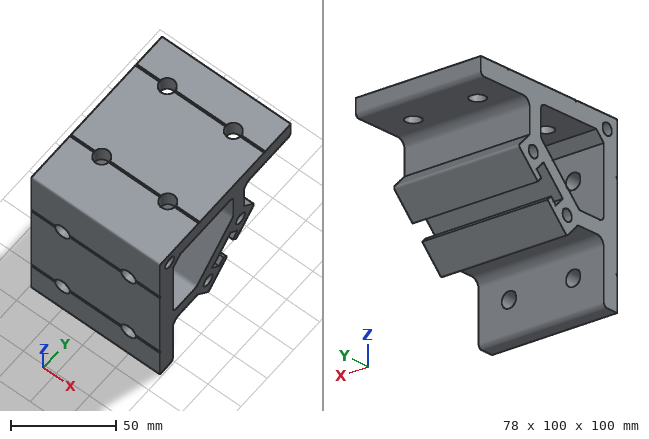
import cadquery as cq
import math

width = 78.0
leg = 100.0
thickness = 10.0
outer_corner_radius = 1.0
leg_tip_radius = 2.5

web_inner = 56.0
web_outer = 64.2
web_root_radius = 5.0
core_chamfer = 5.5
core_radius = 3.0

block_inner = 59.3
block_outer = 77.4
block_width = 50.0
block_corner_radius = 1.5

slot_floor = 66.5
slot_lip = 73.7
slot_width = 20.0
slot_opening = 10.0

bore_diameter = 6.8
corner_bore_offset = 7.5
block_bore_distance = 69.6
block_bore_spacing = 35.0

mount_diameter = 9.0
mount_spacing = 40.0
row_offsets = (30.0, 80.0)
groove_width = 1.0
groove_depth = groove_width / 2


def from_corner(y, depth):
    """Profile point at y behind the front face and depth below the top face."""
    return (y, leg - depth)


def on_bisector(distance, side):
    """Profile point given along the corner bisector and sideways from it."""
    return from_corner((distance + side) / math.sqrt(2), (distance - side) / math.sqrt(2))


def extrude_profile(points):
    """Closed YZ outline extruded over the full width."""
    return cq.Workplane("YZ").polyline(points).close().extrude(width)


def round_edges(body, points, radius):
    """Fillet the full-width edges that pass through the given profile points."""
    for y, z in points:
        edge = cq.selectors.NearestToPointSelector((width / 2, y, z))
        body = body.edges("|X").edges(edge).fillet(radius)
    return body


def make_outline():
    """Solid L with the diagonal block bridging its two webs."""
    half_width = block_width / 2
    neck = web_outer - half_width * math.sqrt(2)
    corner = from_corner(0, 0)
    tips = [from_corner(leg, thickness), from_corner(thickness, leg)]
    roots = [from_corner(web_outer, thickness), from_corner(thickness, web_outer)]
    block_corners = [on_bisector(block_outer, half_width), on_bisector(block_outer, -half_width)]
    body = extrude_profile([
        corner,
        from_corner(leg, 0),
        tips[0],
        roots[0],
        from_corner(web_outer, neck),
        block_corners[0],
        block_corners[1],
        from_corner(neck, web_outer),
        roots[1],
        tips[1],
        from_corner(0, leg),
    ])
    body = round_edges(body, [corner], outer_corner_radius)
    body = round_edges(body, tips, leg_tip_radius)
    body = round_edges(body, roots, web_root_radius)
    return round_edges(body, block_corners, block_corner_radius)


def make_core():
    """Hollow enclosed by the legs, webs and diagonal block."""
    diagonal_end = block_inner * math.sqrt(2) - web_inner
    diagonal = [from_corner(web_inner, diagonal_end), from_corner(diagonal_end, web_inner)]
    square = [from_corner(thickness, web_inner), from_corner(web_inner, thickness)]
    chamfered = [
        from_corner(thickness + core_chamfer, thickness),
        from_corner(thickness, thickness + core_chamfer),
    ]
    body = extrude_profile([*diagonal, square[0], *reversed(chamfered), square[1]])
    return round_edges(body, diagonal + square, core_radius)


def make_slot():
    """T-slot cavity, open through the outer face of the block."""
    half_width = slot_width / 2
    half_opening = slot_opening / 2
    one_side = [(slot_floor, half_width), (slot_lip, half_width),
                (slot_lip, half_opening), (block_outer, half_opening)]
    other_side = [(distance, -side) for distance, side in reversed(one_side)]
    return extrude_profile([on_bisector(*point) for point in one_side + other_side])


def make_bores():
    """One bore in the outer corner and one on each side of the T-slot."""
    centers = [
        from_corner(corner_bore_offset, corner_bore_offset),
        on_bisector(block_bore_distance, block_bore_spacing / 2),
        on_bisector(block_bore_distance, -block_bore_spacing / 2),
    ]
    return cq.Workplane("YZ").pushPoints(centers).circle(bore_diameter / 2).extrude(width)


def cut_mounting_row(body, offset):
    """Cut a groove and its two holes at the same offset in both legs."""
    half_groove = groove_width / 2
    groove = [(offset - half_groove, 0), (offset, groove_depth), (offset + half_groove, 0)]
    body = body.cut(extrude_profile([from_corner(y, depth) for y, depth in groove]))
    body = body.cut(extrude_profile([from_corner(depth, y) for y, depth in groove]))

    radius = mount_diameter / 2
    for side in (-1, 1):
        x = width / 2 + side * mount_spacing / 2
        top_hole = cq.Solid.makeCylinder(
            radius, thickness, cq.Vector(x, offset, leg), cq.Vector(0, 0, -1))
        front_hole = cq.Solid.makeCylinder(
            radius, thickness, cq.Vector(x, 0, leg - offset), cq.Vector(0, 1, 0))
        body = body.cut(cq.Workplane(top_hole)).cut(cq.Workplane(front_hole))
    return body


result = make_outline().cut(make_core()).cut(make_slot()).cut(make_bores())
for row_offset in row_offsets:
    result = cut_mounting_row(result, row_offset)